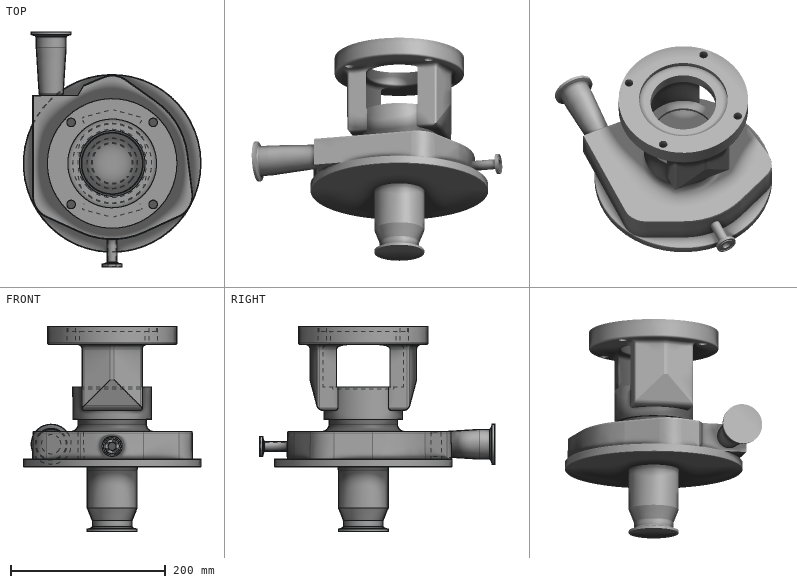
import cadquery as cq
import math

DISC_RADIUS = 115.0
DISC_THICKNESS = 10.2
DISC_EDGE_BREAK = 0.6

VOLUTE_TOP_Z = 45.8
VOLUTE_HEIGHT = VOLUTE_TOP_Z - DISC_THICKNESS
VOLUTE_RADIUS = 98.5
VOLUTE_DRAFT = 0.75
VOLUTE_EDGE_BREAK_HEIGHT = 2.0
VOLUTE_EDGE_BREAK_WIDTH = 0.5
VOLUTE_CORNER_RADIUS = 30.0
LEFT_WALL_X = -102.8
OUTLET_WALL_Y = 87.7
OUTLET_WALL_END_X = -44.5
NOTCH_MARGIN = 10.0
STEP_END = (-36.6, 101.3)
SOUTH_WALL_ANGLES = (-114.5, -65.5)
EAST_WALL_ANGLE = 7.0
NORTHEAST_WALL_ANGLE = 54.5
NORTHWEST_WALL_ANGLE = 112.4
NORTHWEST_WALL_DISTANCE = 107.6

NECK_RADIUS = 44.3
NECK_COVE_RADIUS = 9.2
COLLAR_RADIUS = 51.0
COLLAR_BOTTOM_Z = 61.4
COLLAR_TOP_Z = 103.5
COLLAR_RECESS_RADIUS = 40.0
COLLAR_RECESS_TAPER = 12.0
COLLAR_RECESS_DEPTH = 3.0

FLANGE_RADIUS = 83.75
FLANGE_TOP_Z = 181.6
FLANGE_BOTTOM_Z = 158.1
FLANGE_EDGE_ROUND = 2.5
FLANGE_BORE_RADIUS = 42.5
FLANGE_RECESS_RADIUS = 57.4
FLANGE_RECESS_DEPTH = 6.5
BOLT_COUNT = 4
BOLT_START_ANGLE = 45.0
BOLT_CIRCLE_RADIUS = 75.0
BOLT_HOLE_DIAMETER = 11.0

LEG_HALF_WIDTH = 39.0
LEG_INNER_RADIUS = 52.0
LEG_BOTTOM_Z = 72.8
LEG_RIDGE_Y = 69.0
LEG_RIDGE_HALF_WIDTH = 2.5
LEG_RIDGE_BOTTOM_Z = 112.6
LEG_SLOPE = 15.0
LEG_SIDE_ROUND = 3.4
LEG_TOE_ROUND = 9.0
LEG_TOP_FILLET = 5.5
JOINT_BOX_MARGIN = 1.0

FERRULE_SHOULDER_REACH = 1.2

INLET_RADIUS = 32.3
INLET_TIP_Z = -83.7
INLET_CONE_TOP_Z = -53.0
INLET_CONE_BOTTOM_Z = -69.5
INLET_END_RADIUS = 25.7
INLET_FERRULE_RIM = 3.0
INLET_FERRULE_HEIGHT = 6.5
INLET_FLARE_RADIUS = 32.8
INLET_FLARE_BOTTOM_Z = -4.6

OUTLET_X = -78.9
OUTLET_Z = 29.2
OUTLET_TIP_Y = 170.2
OUTLET_RADIUS = 19.4
OUTLET_CONE_END_Y = 150.0
OUTLET_ROOT_RADIUS = 15.5
OUTLET_ROOT_ROUND = 3.2
OUTLET_ROOT_DEPTH = 3.0
OUTLET_FERRULE_RADIUS = 25.9
OUTLET_FERRULE_RIM = 3.5
OUTLET_FERRULE_HEIGHT = 7.0

DRAIN_Z = 26.5
DRAIN_TIP_Y = -134.1
DRAIN_ROOT_DISTANCE = 50.0
DRAIN_RADIUS = 6.4
DRAIN_BORE_RADIUS = 5.2
DRAIN_FERRULE_RADIUS = 13.0
DRAIN_FERRULE_RIM = 4.0
DRAIN_FERRULE_HEIGHT = 6.5
DRAIN_GROOVE_INNER_RADIUS = 9.3
DRAIN_GROOVE_OUTER_RADIUS = 11.2
DRAIN_GROOVE_DEPTH = 1.0


def disc(radius, bottom_z, top_z):
    """Solid cylinder on the main axis."""
    return cq.Workplane("XY").workplane(offset=bottom_z).circle(radius).extrude(top_z - bottom_z)


def wall_line(angle, distance):
    """Wall as (nx, ny, d): points where nx*x + ny*y = d."""
    return math.cos(math.radians(angle)), math.sin(math.radians(angle)), distance


def crossing(first, second):
    """Point where two wall lines cross."""
    nx1, ny1, d1 = first
    nx2, ny2, d2 = second
    det = nx1 * ny2 - nx2 * ny1
    return (d1 * ny2 - d2 * ny1) / det, (nx1 * d2 - nx2 * d1) / det


def rounded_outline(corners, plane="XY"):
    """Closed outline through (point, corner radius) pairs; each rounded corner is a tangent arc."""
    outline = None
    for index, (point, radius) in enumerate(corners):
        corner = cq.Vector(*point)
        before = cq.Vector(*corners[index - 1][0])
        after = cq.Vector(*corners[(index + 1) % len(corners)][0])
        to_before = (before - corner).normalized()
        to_after = (after - corner).normalized()
        half_angle = to_before.getAngle(to_after) / 2
        setback = radius / math.tan(half_angle)
        start = corner + to_before * setback
        if outline is None:
            outline = cq.Workplane(plane).moveTo(start.x, start.y)
        else:
            outline = outline.lineTo(start.x, start.y)
        if radius > 0:
            bisector = (to_before + to_after).normalized()
            middle = corner + bisector * (radius / math.sin(half_angle) - radius)
            end = corner + to_after * setback
            outline = outline.threePointArc((middle.x, middle.y), (end.x, end.y))
    return outline.close()


def make_volute():
    left = wall_line(180, -LEFT_WALL_X)
    southwest, southeast = [wall_line(angle, VOLUTE_RADIUS) for angle in SOUTH_WALL_ANGLES]
    east = wall_line(EAST_WALL_ANGLE, VOLUTE_RADIUS)
    northeast = wall_line(NORTHEAST_WALL_ANGLE, VOLUTE_RADIUS)
    northwest = wall_line(NORTHWEST_WALL_ANGLE, NORTHWEST_WALL_DISTANCE)
    blank_end_y = OUTLET_WALL_Y + NOTCH_MARGIN
    outline = rounded_outline([
        ((LEFT_WALL_X, blank_end_y), 0),
        (crossing(left, southwest), VOLUTE_CORNER_RADIUS),
        (crossing(southwest, southeast), VOLUTE_RADIUS),
        (crossing(southeast, east), VOLUTE_CORNER_RADIUS),
        (crossing(east, northeast), VOLUTE_RADIUS),
        (crossing(northeast, northwest), VOLUTE_CORNER_RADIUS),
        (crossing(northwest, wall_line(90, blank_end_y)), 0),
    ])
    wall_height = VOLUTE_HEIGHT - VOLUTE_EDGE_BREAK_HEIGHT
    edge_break_angle = math.degrees(math.atan2(VOLUTE_EDGE_BREAK_WIDTH, VOLUTE_EDGE_BREAK_HEIGHT))
    casing = outline.extrude(wall_height, taper=VOLUTE_DRAFT)
    edge_break = casing.faces(">Z").wires().toPending()
    casing = edge_break.extrude(VOLUTE_EDGE_BREAK_HEIGHT, taper=edge_break_angle)
    return casing.cut(make_outlet_notch()).translate((0, 0, DISC_THICKNESS))


def make_outlet_notch():
    """Upright cutter leaving the outlet wall and the oblique step without draft."""
    step_run = STEP_END[0] - OUTLET_WALL_END_X
    step_rise = STEP_END[1] - OUTLET_WALL_Y
    far_left = LEFT_WALL_X - NOTCH_MARGIN
    far_y = STEP_END[1] + step_rise
    return (
        cq.Workplane("XY")
        .polyline([
            (far_left, OUTLET_WALL_Y),
            (OUTLET_WALL_END_X, OUTLET_WALL_Y),
            (STEP_END[0] + step_run, far_y),
            (far_left, far_y),
        ])
        .close()
        .extrude(VOLUTE_HEIGHT)
    )


def make_base_disc():
    return disc(DISC_RADIUS, 0, DISC_THICKNESS).edges().chamfer(DISC_EDGE_BREAK)


def make_neck_and_collar():
    cove_top_z = VOLUTE_TOP_Z + NECK_COVE_RADIUS
    cove_reach = NECK_COVE_RADIUS * (1 - math.cos(math.radians(45)))
    return (
        cq.Workplane("XZ")
        .moveTo(0, VOLUTE_TOP_Z)
        .lineTo(NECK_RADIUS + NECK_COVE_RADIUS, VOLUTE_TOP_Z)
        .threePointArc(
            (NECK_RADIUS + cove_reach, VOLUTE_TOP_Z + cove_reach),
            (NECK_RADIUS, cove_top_z),
        )
        .lineTo(NECK_RADIUS, COLLAR_BOTTOM_Z)
        .lineTo(COLLAR_RADIUS, COLLAR_BOTTOM_Z)
        .lineTo(COLLAR_RADIUS, COLLAR_TOP_Z)
        .lineTo(0, COLLAR_TOP_Z)
        .close()
        .revolve(360, (0, 0, 0), (0, 1, 0))
    )


def make_collar_recess():
    return (
        cq.Workplane("XY")
        .workplane(offset=COLLAR_TOP_Z)
        .circle(COLLAR_RECESS_RADIUS)
        .extrude(-COLLAR_RECESS_DEPTH, taper=COLLAR_RECESS_TAPER)
    )


def make_leg():
    """Leg on the -Y side: common volume of its plan, side and front profiles, with a round back."""
    slope = math.tan(math.radians(LEG_SLOPE))
    side_y = -LEG_RIDGE_Y + (LEG_HALF_WIDTH - LEG_RIDGE_HALF_WIDTH) * slope
    toe_y = -LEG_RIDGE_Y + (LEG_RIDGE_BOTTOM_Z - LEG_BOTTOM_Z) * slope
    plan = rounded_outline([
        ((-LEG_HALF_WIDTH, 0), 0),
        ((-LEG_HALF_WIDTH, side_y), LEG_SIDE_ROUND),
        ((-LEG_RIDGE_HALF_WIDTH, -LEG_RIDGE_Y), 0),
        ((LEG_RIDGE_HALF_WIDTH, -LEG_RIDGE_Y), 0),
        ((LEG_HALF_WIDTH, side_y), LEG_SIDE_ROUND),
        ((LEG_HALF_WIDTH, 0), 0),
    ])
    side = rounded_outline([
        ((0, FLANGE_BOTTOM_Z), 0),
        ((-LEG_RIDGE_Y, FLANGE_BOTTOM_Z), 0),
        ((-LEG_RIDGE_Y, LEG_RIDGE_BOTTOM_Z), 0),
        ((toe_y, LEG_BOTTOM_Z), LEG_TOE_ROUND),
        ((0, LEG_BOTTOM_Z), 0),
    ], "YZ")
    front = rounded_outline([
        ((-LEG_HALF_WIDTH, FLANGE_BOTTOM_Z), 0),
        ((-LEG_HALF_WIDTH, LEG_BOTTOM_Z), LEG_SIDE_ROUND),
        ((LEG_HALF_WIDTH, LEG_BOTTOM_Z), LEG_SIDE_ROUND),
        ((LEG_HALF_WIDTH, FLANGE_BOTTOM_Z), 0),
    ], "XZ")
    leg = plan.extrude(FLANGE_BOTTOM_Z)
    leg = leg.intersect(side.extrude(LEG_HALF_WIDTH, both=True))
    leg = leg.intersect(front.extrude(LEG_RIDGE_Y))
    return leg.cut(disc(LEG_INNER_RADIUS, COLLAR_TOP_Z, FLANGE_BOTTOM_Z))


def make_flange_with_legs():
    flange = disc(FLANGE_RADIUS, FLANGE_BOTTOM_Z, FLANGE_TOP_Z)
    flange = flange.cut(disc(FLANGE_BORE_RADIUS, FLANGE_BOTTOM_Z, FLANGE_TOP_Z))
    flange = flange.faces("<Z").edges().fillet(FLANGE_EDGE_ROUND)
    leg = make_leg()
    yoke = flange.union(leg).union(leg.mirror("XZ"))
    box_x = LEG_HALF_WIDTH + JOINT_BOX_MARGIN
    box_y = LEG_RIDGE_Y + JOINT_BOX_MARGIN
    joint_box = cq.selectors.BoxSelector(
        (-box_x, -box_y, FLANGE_BOTTOM_Z - JOINT_BOX_MARGIN),
        (box_x, box_y, FLANGE_BOTTOM_Z + JOINT_BOX_MARGIN),
    )
    yoke = yoke.edges(joint_box).fillet(LEG_TOP_FILLET)
    recess = disc(FLANGE_RECESS_RADIUS, FLANGE_TOP_Z - FLANGE_RECESS_DEPTH, FLANGE_TOP_Z)
    bolt_holes = (
        cq.Workplane("XY")
        .workplane(offset=FLANGE_BOTTOM_Z)
        .polarArray(BOLT_CIRCLE_RADIUS, BOLT_START_ANGLE, 360, BOLT_COUNT)
        .circle(BOLT_HOLE_DIAMETER / 2)
        .extrude(FLANGE_TOP_Z - FLANGE_BOTTOM_Z)
    )
    return yoke.cut(recess).cut(bolt_holes)


def make_pipe(profile, pipe_radius, ferrule_radius, ferrule_rim, ferrule_height):
    """Pipe turned about +Z: (radius, z) points of the body, then a clamp ferrule ending at z = 0."""
    points = [(0, profile[0][1])] + profile + [
        (pipe_radius, -ferrule_height),
        (pipe_radius + FERRULE_SHOULDER_REACH, -(ferrule_height + ferrule_rim) / 2),
        (ferrule_radius, -ferrule_rim),
        (ferrule_radius, 0),
        (0, 0),
    ]
    return cq.Workplane("XZ").polyline(points).close().revolve(360, (0, 0, 0), (0, 1, 0))


def make_inlet():
    profile = [
        (INLET_FLARE_RADIUS, INLET_TIP_Z),
        (INLET_RADIUS, INLET_TIP_Z - INLET_FLARE_BOTTOM_Z),
        (INLET_RADIUS, INLET_TIP_Z - INLET_CONE_TOP_Z),
        (INLET_END_RADIUS, INLET_TIP_Z - INLET_CONE_BOTTOM_Z),
    ]
    pipe = make_pipe(profile, INLET_END_RADIUS, INLET_RADIUS, INLET_FERRULE_RIM, INLET_FERRULE_HEIGHT)
    return pipe.rotate((0, 0, 0), (1, 0, 0), 180).translate((0, 0, INLET_TIP_Z))


def make_outlet():
    root_z = OUTLET_WALL_Y - OUTLET_TIP_Y
    profile = [
        (OUTLET_ROOT_RADIUS, root_z),
        (OUTLET_RADIUS, OUTLET_CONE_END_Y - OUTLET_TIP_Y),
    ]
    pipe = make_pipe(
        profile, OUTLET_RADIUS, OUTLET_FERRULE_RADIUS, OUTLET_FERRULE_RIM, OUTLET_FERRULE_HEIGHT
    )
    pipe = pipe.faces("<Z").edges().fillet(OUTLET_ROOT_ROUND)
    spigot_radius = OUTLET_ROOT_RADIUS - OUTLET_ROOT_ROUND
    spigot = disc(spigot_radius, root_z - OUTLET_ROOT_DEPTH, root_z)
    pipe = pipe.union(spigot)
    return pipe.rotate((0, 0, 0), (1, 0, 0), -90).translate((OUTLET_X, OUTLET_TIP_Y, OUTLET_Z))


def place_drain(shape):
    """Turn a shape built along +Z with its tip at the origin into the drain position."""
    return shape.rotate((0, 0, 0), (1, 0, 0), 90).translate((0, DRAIN_TIP_Y, DRAIN_Z))


def make_drain():
    profile = [(DRAIN_RADIUS, DRAIN_TIP_Y + DRAIN_ROOT_DISTANCE)]
    pipe = make_pipe(
        profile, DRAIN_RADIUS, DRAIN_FERRULE_RADIUS, DRAIN_FERRULE_RIM, DRAIN_FERRULE_HEIGHT
    )
    groove = (
        cq.Workplane("XY")
        .circle(DRAIN_GROOVE_OUTER_RADIUS)
        .circle(DRAIN_GROOVE_INNER_RADIUS)
        .extrude(-DRAIN_GROOVE_DEPTH)
    )
    return place_drain(pipe.cut(groove))


def make_drain_bore():
    bore_length = -DRAIN_TIP_Y - VOLUTE_RADIUS
    return place_drain(cq.Workplane("XY").circle(DRAIN_BORE_RADIUS).extrude(-bore_length))


body = make_base_disc().union(make_volute()).union(make_neck_and_collar())
body = body.union(make_flange_with_legs())
body = body.union(make_inlet()).union(make_outlet()).union(make_drain())
result = body.cut(make_collar_recess()).cut(make_drain_bore())